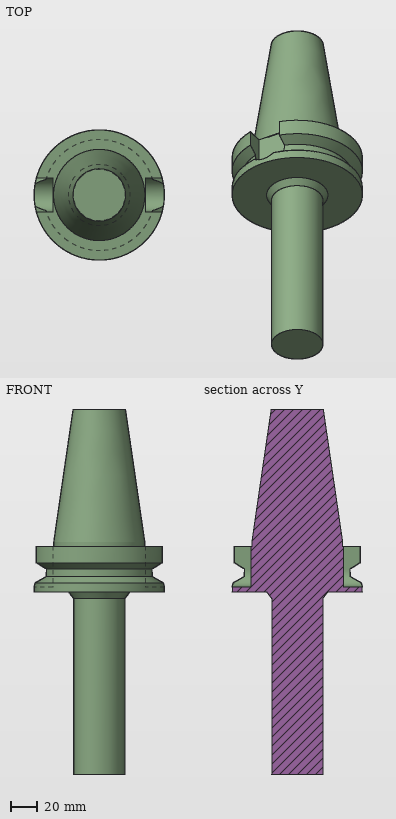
import cadquery as cq

total_length = 279.8
gauge_diameter = 70.0
taper_length = 101.8
taper_ratio = 7 / 24
neck_length = 3.0
shank_diameter = 39.5

flange_diameter = 100.0
flange_thickness = 35.0
groove_floor_diameter = 85.0
groove_top = -12.5
groove_bottom = -28.0
groove_side_height = 4.8

collar_diameter = 47.0
collar_height = 5.0

slot_width = 25.7
slot_depth = 31.0
slot_face_distance = 35.5

taper_top = neck_length + taper_length
shank_bottom = taper_top - total_length
tip_radius = (gauge_diameter - taper_length * taper_ratio) / 2


def make_body():
    """Revolve the half profile (radius, height) about the Z axis."""
    gauge_radius = gauge_diameter / 2
    flange_radius = flange_diameter / 2
    groove_radius = groove_floor_diameter / 2
    shank_radius = shank_diameter / 2
    profile = [
        (0, taper_top),
        (tip_radius, taper_top),
        (gauge_radius, neck_length),
        (gauge_radius, 0),
        (flange_radius, 0),
        (flange_radius, groove_top),
        (groove_radius, groove_top - groove_side_height),
        (groove_radius, groove_bottom + groove_side_height),
        (flange_radius, groove_bottom),
        (flange_radius, -flange_thickness),
        (collar_diameter / 2, -flange_thickness),
        (shank_radius, -flange_thickness - collar_height),
        (shank_radius, shank_bottom),
        (0, shank_bottom),
    ]
    return cq.Workplane("XZ").polyline(profile).close().revolve(360, (0, 0), (0, 1))


def make_drive_slot(side):
    """Cutter for the drive slot on the +X (side = 1) or -X (side = -1) side."""
    half_width = slot_width / 2
    arc_centre = half_width - slot_depth
    return (
        cq.Workplane("YZ", origin=(side * slot_face_distance, 0, 0))
        .moveTo(-half_width, 0)
        .lineTo(-half_width, arc_centre)
        .threePointArc((0, -slot_depth), (half_width, arc_centre))
        .lineTo(half_width, 0)
        .close()
        .extrude(side * flange_diameter / 2)
    )


result = make_body()
for side in (-1, 1):
    result = result.cut(make_drive_slot(side))